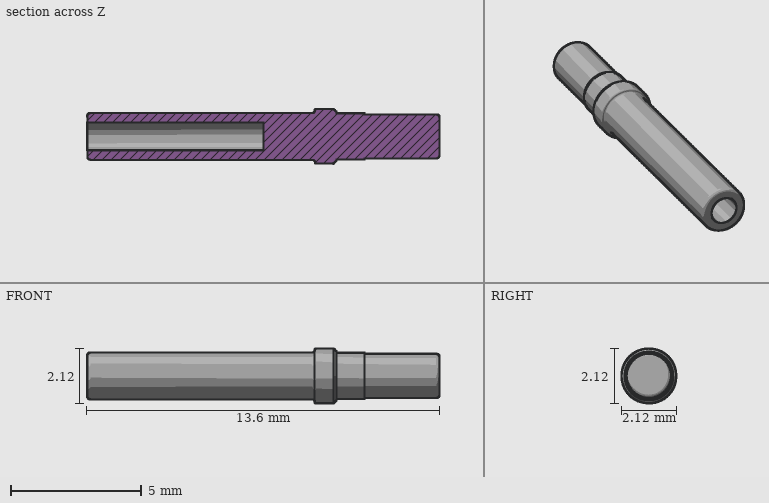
import cadquery as cq

total_length = 13.55
socket_end = -total_length / 2
tail_end = total_length / 2
collar_start = socket_end + 8.74
collar_end = collar_start + 0.85
shoulder_end = collar_end + 1.07

socket_radius = 0.91
collar_radius = 1.06
shoulder_radius = 0.9
tail_radius = 0.85

bore_radius = 0.53
bore_depth = 6.78

end_fillet = 0.14
collar_front_fillet = 0.07
collar_root_fillet = 0.07
collar_back_chamfer = 0.12


def cylinder(start, end, radius):
    """Solid cylinder on the X axis between two axial positions."""
    section = cq.Workplane("YZ", origin=(start, 0, 0))
    return section.circle(radius).extrude(end - start)


socket = cylinder(socket_end, collar_start, socket_radius)
socket = socket.faces("<X").edges().fillet(end_fillet)

shoulder = cylinder(collar_end, shoulder_end, shoulder_radius)
tail = cylinder(shoulder_end, tail_end, tail_radius)
tail = tail.faces(">X").edges().fillet(end_fillet)

collar = cylinder(collar_start, collar_end, collar_radius)
collar = collar.faces("<X").edges().fillet(collar_front_fillet)
collar = collar.faces(">X").edges().chamfer(collar_back_chamfer)

root_outer_radius = socket_radius + collar_root_fillet
root_fillet = (
    cq.Workplane("XY")
    .moveTo(collar_start - collar_root_fillet, 0)
    .lineTo(collar_start - collar_root_fillet, socket_radius)
    .radiusArc((collar_start, root_outer_radius), -collar_root_fillet)
    .lineTo(collar_start, 0)
    .close()
    .revolve(360, (0, 0, 0), (1, 0, 0))
)

bore = cylinder(socket_end, socket_end + bore_depth, bore_radius)

result = socket.union(root_fillet).union(collar).union(shoulder).union(tail).cut(bore)